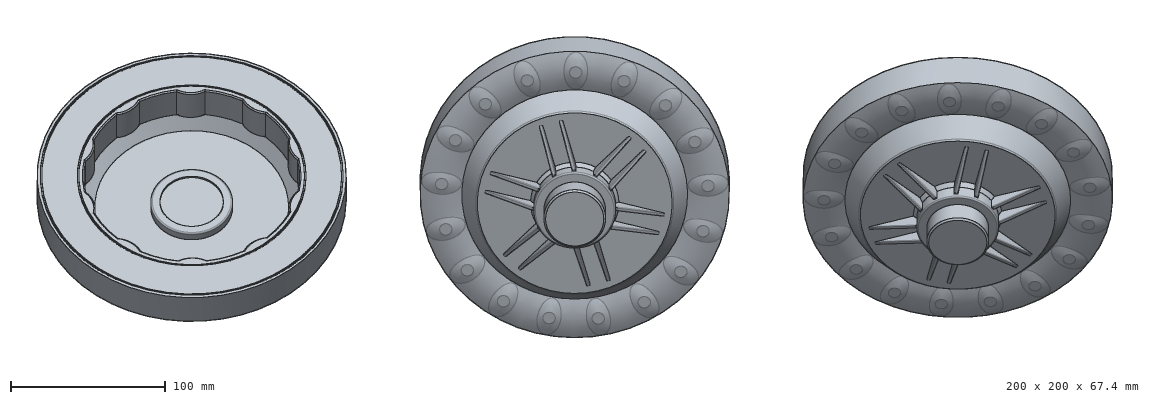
import cadquery as cq
import math

TOTAL_HEIGHT = 67.4
EDGE_ROUND = 1.0

RIM_RADIUS = 100.0
RIM_INNER_RADIUS = 73.0
RIM_CENTRE_RADIUS = (RIM_RADIUS + RIM_INNER_RADIUS) / 2
RIM_EDGE_Z = 42.2
RIM_CROWN_Z = 39.8
GROOVE_WIDTH = 1.0
GROOVE_DEPTH = 1.0
OUTER_GROOVE_RADIUS = 98.0
INNER_GROOVE_RADIUS = RIM_INNER_RADIUS + GROOVE_WIDTH

DOME_COUNT = 17
DOME_START_ANGLE = 180.0
DOME_TIP_Z = 39.0
DOME_TIP_RADIUS = 4.0
DOME_BASE_RADIUS = 13.2
DOME_SPHERE_RADIUS = 27.0
DOME_OVERLAP = 1.0

BOWL_BOTTOM_Z = 27.2
BOWL_BOTTOM_RADIUS = 63.0
BOWL_EDGE = 1.0
FLOOR_Z = 33.6
FLOOR_RADIUS = 62.7
WAVE_RADIUS = 69.8
WAVE_BOTTOM_Z = 42.3
WAVE_COUNT = 10
WAVE_START_ANGLE = 90.0
WAVE_CREST_RADIUS = 66.8
WAVE_BUMP_RADIUS = 18.8
MOUTH_CHAMFER = 0.9

HUB_RADIUS = 20.0
HUB_CHAMFER = 1.2
COLLAR_RADIUS = 26.5
COLLAR_BOTTOM_Z = 14.4
COLLAR_FLARE_Z = 24.0
COLLAR_FLARE_RADIUS = 28.6
BOSS_RADIUS = COLLAR_RADIUS
BOSS_TOP_Z = 40.0
BOSS_RECESS_RADIUS = 20.5
BOSS_RECESS_DEPTH = 1.4

RIB_PAIRS = 6
RIB_START_ANGLE = 30.0
RIB_SPACING = 13.4
RIB_THICKNESS = 2.5
RIB_EDGE_ROUND = 0.5
RIB_INNER_Z = 17.4
RIB_OUTER_RADIUS = 58.0


def polar_angles(count, start):
    return [start + i * 360.0 / count for i in range(count)]


def cylinder(radius, bottom, top):
    return cq.Workplane("XY").workplane(offset=bottom).circle(radius).extrude(top - bottom)


def make_body():
    """Revolve the rim, bowl and hub as one solid of revolution, still without the bowl's cavity."""
    bowl_side_radius = BOWL_BOTTOM_RADIUS + BOWL_EDGE
    profile = (
        cq.Workplane("XZ")
        .moveTo(0, 0)
        .lineTo(HUB_RADIUS - HUB_CHAMFER, 0)
        .lineTo(HUB_RADIUS, HUB_CHAMFER)
        .lineTo(HUB_RADIUS, COLLAR_BOTTOM_Z)
        .lineTo(COLLAR_RADIUS - EDGE_ROUND, COLLAR_BOTTOM_Z)
        .radiusArc((COLLAR_RADIUS, COLLAR_BOTTOM_Z + EDGE_ROUND), -EDGE_ROUND)
        .lineTo(COLLAR_RADIUS, COLLAR_FLARE_Z)
        .lineTo(COLLAR_FLARE_RADIUS, BOWL_BOTTOM_Z)
        .lineTo(BOWL_BOTTOM_RADIUS, BOWL_BOTTOM_Z)
        .lineTo(bowl_side_radius, BOWL_BOTTOM_Z + BOWL_EDGE)
        .lineTo(RIM_INNER_RADIUS, RIM_EDGE_Z)
        .threePointArc((RIM_CENTRE_RADIUS, RIM_CROWN_Z), (RIM_RADIUS, RIM_EDGE_Z))
        .lineTo(RIM_RADIUS, TOTAL_HEIGHT)
        .lineTo(0, TOTAL_HEIGHT)
        .close()
    )
    return profile.revolve(360, (0, 0, 0), (0, 1, 0))


def make_domes():
    """Flat-tipped spherical domes, evenly spaced along the middle of the rim's underside."""
    dome_height = (
        math.sqrt(DOME_SPHERE_RADIUS**2 - DOME_TIP_RADIUS**2)
        - math.sqrt(DOME_SPHERE_RADIUS**2 - DOME_BASE_RADIUS**2)
    )
    base_z = DOME_TIP_Z + dome_height
    top_z = base_z + DOME_OVERLAP
    dome = (
        cq.Workplane("XZ")
        .moveTo(0, DOME_TIP_Z)
        .lineTo(DOME_TIP_RADIUS, DOME_TIP_Z)
        .radiusArc((DOME_BASE_RADIUS, base_z), -DOME_SPHERE_RADIUS)
        .lineTo(DOME_BASE_RADIUS, top_z)
        .lineTo(0, top_z)
        .close()
        .revolve(360, (0, 0, 0), (0, 1, 0))
        .translate((RIM_CENTRE_RADIUS, 0, 0))
    )
    return [dome.rotate((0, 0, 0), (0, 0, 1), a) for a in polar_angles(DOME_COUNT, DOME_START_ANGLE)]


def make_ribs():
    """Pairs of parallel sloping webs running from the collar out to the bowl's bottom."""
    web = (
        cq.Workplane("XZ", origin=(0, RIB_THICKNESS / 2, 0))
        .moveTo(0, RIB_INNER_Z)
        .lineTo(COLLAR_RADIUS, RIB_INNER_Z)
        .lineTo(RIB_OUTER_RADIUS, BOWL_BOTTOM_Z)
        .lineTo(RIB_OUTER_RADIUS, FLOOR_Z)
        .lineTo(0, FLOOR_Z)
        .close()
        .extrude(RIB_THICKNESS)
        .edges("not (|X or |Y or |Z)")
        .fillet(RIB_EDGE_ROUND)
    )
    ribs = []
    for angle in polar_angles(RIB_PAIRS, RIB_START_ANGLE):
        for side in (-1, 1):
            rib = web.translate((0, side * RIB_SPACING / 2, 0))
            ribs.append(rib.rotate((0, 0, 0), (0, 0, 1), angle))
    return ribs


def frustum(bottom_radius, top_radius, bottom, top):
    return cq.Workplane(cq.Solid.makeCone(bottom_radius, top_radius, top - bottom, pnt=(0, 0, bottom)))


def narrow_by_bumps(opening, bump):
    """Cut the finger bumps, given as one shape on the Z axis, out of a round opening."""
    bump = bump.translate((WAVE_CREST_RADIUS + WAVE_BUMP_RADIUS, 0, 0))
    for angle in polar_angles(WAVE_COUNT, WAVE_START_ANGLE):
        opening = opening.cut(bump.rotate((0, 0, 0), (0, 0, 1), angle))
    return opening


def make_cavity():
    """Bowl interior: a conical floor edge, the wavy wall above it and a chamfered mouth."""
    mouth_z = TOTAL_HEIGHT - MOUTH_CHAMFER
    cone = frustum(FLOOR_RADIUS, WAVE_RADIUS, FLOOR_Z, WAVE_BOTTOM_Z)
    wall = narrow_by_bumps(
        cylinder(WAVE_RADIUS, WAVE_BOTTOM_Z, mouth_z),
        cylinder(WAVE_BUMP_RADIUS, WAVE_BOTTOM_Z, mouth_z),
    )
    mouth = narrow_by_bumps(
        frustum(WAVE_RADIUS, WAVE_RADIUS + MOUTH_CHAMFER, mouth_z, TOTAL_HEIGHT),
        frustum(WAVE_BUMP_RADIUS, WAVE_BUMP_RADIUS - MOUTH_CHAMFER, mouth_z, TOTAL_HEIGHT),
    )
    return cone.union(wall).union(mouth)


def make_boss():
    boss = cylinder(BOSS_RADIUS, FLOOR_Z, BOSS_TOP_Z).faces(">Z").edges().fillet(EDGE_ROUND)
    return boss.cut(cylinder(BOSS_RECESS_RADIUS, BOSS_TOP_Z - BOSS_RECESS_DEPTH, BOSS_TOP_Z))


def groove(outer_radius):
    bottom = TOTAL_HEIGHT - GROOVE_DEPTH
    ring = cylinder(outer_radius, bottom, TOTAL_HEIGHT)
    return ring.cut(cylinder(outer_radius - GROOVE_WIDTH, bottom, TOTAL_HEIGHT))


result = make_body()
for addition in make_domes() + make_ribs():
    result = result.union(addition)
result = result.cut(make_cavity()).union(make_boss())
for groove_radius in (OUTER_GROOVE_RADIUS, INNER_GROOVE_RADIUS):
    result = result.cut(groove(groove_radius))